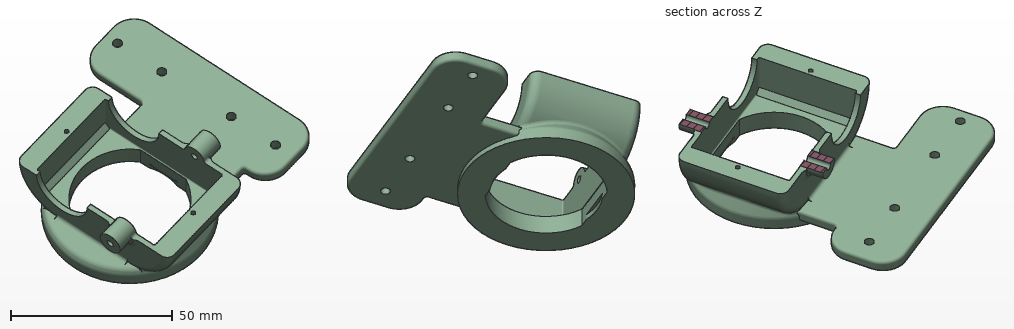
import cadquery as cq
import math

OVERALL_LENGTH = 84.5
OVERALL_HEIGHT = 24.9
BOSS_DIAMETER = 7.9
SELECT_MARGIN = 0.1

DISC_RADIUS = 27.505
DISC_EDGE_HEIGHT = 3.5
FLANK_ANGLE = 30
DISC_ROUND = 2.0
DISC_TOP = 6.0
FLARE_TOP = 10.1
FLARE_WIDTH = 37.2

PLATE_BOTTOM = 2.0
PLATE_EDGE_ROUND = 1.0
PLATE_X_MIN = -45.0
PLATE_X_MAX = 30.0
PLATE_Y_MIN = 31.9
PLATE_Y_MAX = OVERALL_LENGTH - DISC_RADIUS
PLATE_CORNER_RADIUS = 8.0
NECK_WIDTH = 39.9
NECK_Y_MIN = 16.7
NECK_CORNER_RADIUS = 1.0
PLATE_HOLE_DIAMETER = 3.0
PLATE_HOLE_XS = (-40.0, -22.5, 5.0, 22.5)

CRADLE_LENGTH = 60.5
CRADLE_WIDTH = 37.85
CRADLE_TOP = OVERALL_HEIGHT - BOSS_DIAMETER / 2
CRADLE_CORNER_RADIUS = 17.3
CRADLE_EDGE_ROUND = 2.95
FOOT_ROUND = 1.2
FOOT_LENGTH = 27.9

CAVITY_LENGTH = 46.5
CAVITY_WIDTH = 34.1
CAVITY_FLOOR = 6.7
CAVITY_CHAMFER = 1.9
CAVITY_ROUND = 0.4
BORE_DIAMETER = 37.85
BORE_WIDTH = CAVITY_WIDTH - 2 * CAVITY_ROUND
RECESS_DIAMETER = 35.15

SADDLE_RADIUS = 10.0
SADDLE_X = -12.0
BOSS_X = 12.0
BOSS_HOLE_DIAMETER = 2.4
BOSS_LENGTH = 8.0
COLLAR_ROUND = 2.49
COLLAR_HEIGHT = 0.63
WEB_HEIGHT = 1.0
PIN_HOLE_X = 25.0
PIN_HOLE_DIAMETER = 1.4
PIN_HOLE_DEPTH = 5.1

WALL_INNER_Y = CAVITY_WIDTH / 2
WALL_OUTER_Y = CRADLE_WIDTH / 2


def centred_box(length, width, z_min, z_max):
    return cq.Workplane("XY", origin=(0, 0, z_min)).rect(length, width).extrude(z_max - z_min)


def cylinder_along_y(diameter, x, y_min, y_max):
    plane = cq.Workplane("XZ", origin=(x, y_min, CRADLE_TOP))
    return plane.circle(diameter / 2).extrude(y_min - y_max)


def make_cone_body(top):
    """Rim cylinder and the leaning flank above it, up to the given height."""
    lean = math.tan(math.radians(FLANK_ANGLE))
    round_setback = DISC_ROUND * math.tan(math.radians(FLANK_ANGLE) / 2)
    flank_start = DISC_EDGE_HEIGHT + round_setback
    top_radius = DISC_RADIUS - (top - flank_start) * lean
    profile = (
        cq.Workplane("XZ")
        .polyline([(0, 0), (DISC_RADIUS, 0), (DISC_RADIUS, flank_start), (top_radius, top), (0, top)])
        .close()
    )
    body = profile.revolve(360, (0, 0, 0), (0, 1, 0))
    shoulder = cq.selectors.BoxSelector(
        (-OVERALL_LENGTH, -OVERALL_LENGTH, flank_start - SELECT_MARGIN),
        (OVERALL_LENGTH, OVERALL_LENGTH, flank_start + SELECT_MARGIN),
        boundingbox=True,
    )
    return body.edges(shoulder).fillet(DISC_ROUND)


def make_base():
    """Disc rounded at its top, with the cone carried higher beneath the cradle."""
    disc = make_cone_body(DISC_TOP).faces(">Z").edges().fillet(DISC_ROUND)
    flare_limits = centred_box(2 * DISC_RADIUS, FLARE_WIDTH, 0, FLARE_TOP)
    return disc.union(make_cone_body(FLARE_TOP).intersect(flare_limits))


def make_plate():
    thickness = DISC_TOP - PLATE_BOTTOM
    plane = cq.Workplane("XY", origin=(0, 0, PLATE_BOTTOM))
    bar = (
        plane.center((PLATE_X_MIN + PLATE_X_MAX) / 2, (PLATE_Y_MIN + PLATE_Y_MAX) / 2)
        .rect(PLATE_X_MAX - PLATE_X_MIN, PLATE_Y_MAX - PLATE_Y_MIN)
        .extrude(thickness)
        .edges("|Z")
        .fillet(PLATE_CORNER_RADIUS)
    )
    neck_length = PLATE_Y_MIN - NECK_Y_MIN + PLATE_CORNER_RADIUS
    neck = (
        plane.center(0, NECK_Y_MIN + neck_length / 2)
        .rect(NECK_WIDTH, neck_length)
        .extrude(thickness)
    )
    half_neck = NECK_WIDTH / 2
    inner_corners = cq.selectors.BoxSelector(
        (-half_neck - SELECT_MARGIN, PLATE_Y_MIN - SELECT_MARGIN, 0),
        (half_neck + SELECT_MARGIN, PLATE_Y_MIN + SELECT_MARGIN, OVERALL_HEIGHT),
    )
    plate = bar.union(neck).edges("|Z").edges(inner_corners).fillet(NECK_CORNER_RADIUS)
    plate = plate.faces("<Z or >Z").edges("not <Y").fillet(PLATE_EDGE_ROUND)
    hole_centres = [(x, (PLATE_Y_MIN + PLATE_Y_MAX) / 2) for x in PLATE_HOLE_XS]
    holes = plane.pushPoints(hole_centres).circle(PLATE_HOLE_DIAMETER / 2).extrude(thickness)
    return plate.cut(holes)


def make_cradle():
    bottom = CRADLE_TOP - CRADLE_CORNER_RADIUS
    half_length = CRADLE_LENGTH / 2
    flat_half = half_length - CRADLE_CORNER_RADIUS
    profile = (
        cq.Workplane("XZ", origin=(0, WALL_OUTER_Y, 0))
        .moveTo(-half_length, CRADLE_TOP)
        .radiusArc((-flat_half, bottom), -CRADLE_CORNER_RADIUS)
        .lineTo(flat_half, bottom)
        .radiusArc((half_length, CRADLE_TOP), -CRADLE_CORNER_RADIUS)
        .close()
    )
    cradle = profile.extrude(CRADLE_WIDTH)
    return cradle.faces("<Y or >Y").edges("not >Z").fillet(CRADLE_EDGE_ROUND)


def make_foot():
    """Concave blend along the foot of the +Y wall."""
    inner_y = WALL_OUTER_Y - FOOT_ROUND / 2
    outer_y = WALL_OUTER_Y + FOOT_ROUND
    top = DISC_TOP + FOOT_ROUND
    profile = (
        cq.Workplane("YZ", origin=(-FOOT_LENGTH / 2, 0, 0))
        .moveTo(inner_y, DISC_TOP)
        .lineTo(outer_y, DISC_TOP)
        .radiusArc((WALL_OUTER_Y, top), FOOT_ROUND)
        .lineTo(inner_y, top)
        .close()
    )
    return profile.extrude(FOOT_LENGTH)


def make_boss():
    """Hinge boss on the +Y wall with its collar below and web above the wall top."""
    boss_radius = BOSS_DIAMETER / 2
    boss = cylinder_along_y(BOSS_DIAMETER, BOSS_X, WALL_INNER_Y, WALL_INNER_Y + BOSS_LENGTH)
    blend_radius = boss_radius + COLLAR_ROUND
    cut_setback = math.sqrt(COLLAR_ROUND**2 - (COLLAR_ROUND - COLLAR_HEIGHT) ** 2)
    collar_y = WALL_OUTER_Y + COLLAR_HEIGHT
    collar = (
        cq.Workplane("XY", origin=(BOSS_X, 0, CRADLE_TOP))
        .moveTo(0, WALL_INNER_Y)
        .lineTo(blend_radius, WALL_INNER_Y)
        .lineTo(blend_radius, WALL_OUTER_Y)
        .radiusArc((blend_radius - cut_setback, collar_y), COLLAR_ROUND)
        .lineTo(0, collar_y)
        .close()
        .revolve(180, (0, 0, 0), (0, 1, 0))
    )
    web_top_half = math.sqrt(boss_radius**2 - WEB_HEIGHT**2)
    web_foot_half = web_top_half + WEB_HEIGHT
    web = (
        cq.Workplane("XZ", origin=(BOSS_X, WALL_INNER_Y, CRADLE_TOP))
        .moveTo(-web_foot_half, 0)
        .lineTo(web_foot_half, 0)
        .radiusArc((web_top_half, WEB_HEIGHT), WEB_HEIGHT)
        .lineTo(-web_top_half, WEB_HEIGHT)
        .radiusArc((-web_foot_half, 0), WEB_HEIGHT)
        .close()
        .extrude(WALL_INNER_Y - collar_y)
    )
    return boss.union(collar).union(web)


def make_cavity():
    cavity = centred_box(CAVITY_LENGTH, CAVITY_WIDTH, CAVITY_FLOOR, CRADLE_TOP)
    cavity = cavity.faces("<Z").edges("|Y").chamfer(CAVITY_CHAMFER)
    cavity = cavity.edges("|Z").fillet(CAVITY_ROUND)
    return cavity.faces("<Z").edges("|X").fillet(CAVITY_ROUND)


def make_bore():
    """Round opening with flats along both walls, and the round recess under the flats."""
    bore = cq.Workplane("XY").circle(BORE_DIAMETER / 2).extrude(CAVITY_FLOOR + CAVITY_ROUND)
    bore = bore.intersect(centred_box(BORE_DIAMETER, BORE_WIDTH, 0, CRADLE_TOP))
    recess = cq.Workplane("XY").circle(RECESS_DIAMETER / 2).extrude(PLATE_BOTTOM)
    return bore.union(recess)


def blend_flanks(body):
    """Round the two long edges where the cradle underside runs into the cone."""
    flat_half = CRADLE_LENGTH / 2 - CRADLE_CORNER_RADIUS
    for x_from, x_to in ((-DISC_RADIUS, -flat_half), (flat_half, DISC_RADIUS)):
        meeting_edge = cq.selectors.BoxSelector(
            (x_from, -FLARE_WIDTH / 2, DISC_EDGE_HEIGHT + DISC_ROUND),
            (x_to, FLARE_WIDTH / 2, FLARE_TOP),
            boundingbox=True,
        )
        longest = body.edges(meeting_edge).sort(lambda edge: -edge.Length()).first()
        body = longest.fillet(FOOT_ROUND)
    return body


part = blend_flanks(make_base().union(make_cradle())).union(make_plate())
foot = make_foot()
part = part.union(foot).union(foot.mirror("XZ"))

part = part.cut(make_cavity()).cut(make_bore())
part = part.cut(cylinder_along_y(2 * SADDLE_RADIUS, SADDLE_X, -WALL_OUTER_Y, WALL_OUTER_Y))

boss = make_boss()
part = part.union(boss).union(boss.mirror("XZ"))
boss_reach = WALL_INNER_Y + BOSS_LENGTH
part = part.cut(cylinder_along_y(BOSS_HOLE_DIAMETER, BOSS_X, -boss_reach, boss_reach))

pin_holes = (
    cq.Workplane("XY", origin=(0, 0, CRADLE_TOP))
    .pushPoints([(-PIN_HOLE_X, 0), (PIN_HOLE_X, 0)])
    .circle(PIN_HOLE_DIAMETER / 2)
    .extrude(-PIN_HOLE_DEPTH)
)
result = part.cut(pin_holes)